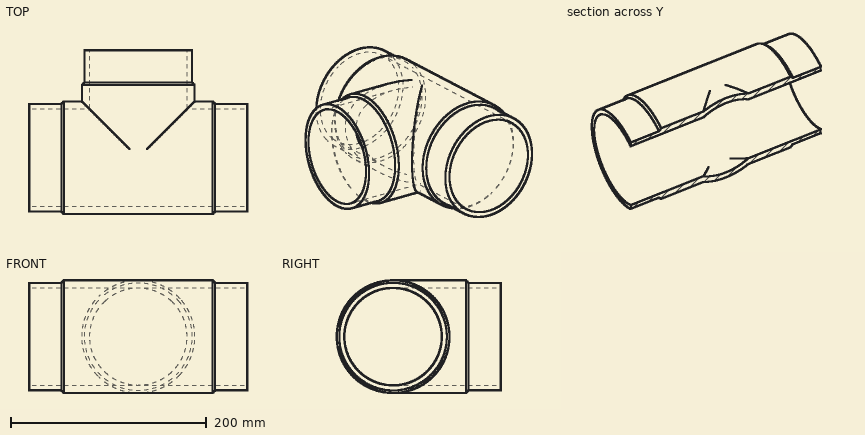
import cadquery as cq

pipe_diameter = 110.0
wall = 5.3
bore_diameter = pipe_diameter - 2 * wall
body_diameter = pipe_diameter + wall
run_length = 223.0
branch_length = 110.0
spigot_length = 33.0
shoulder_chamfer = (body_diameter - pipe_diameter) / 2

run_start = cq.Plane(origin=(-run_length / 2, 0, 0), xDir=(0, 1, 0), normal=(1, 0, 0))
branch_start = cq.Plane(origin=(0, 0, 0), xDir=(1, 0, 0), normal=(0, 1, 0))


def cylinder(plane, start, length, diameter):
    """Cylinder along the plane normal, beginning at the given distance from the plane."""
    return cq.Workplane(plane).workplane(offset=start).circle(diameter / 2).extrude(length)


def make_run():
    """Straight pipe with a thickened middle, chamfered at both shoulders."""
    pipe = cylinder(run_start, 0, run_length, pipe_diameter)
    body = cylinder(run_start, spigot_length, run_length - 2 * spigot_length, body_diameter)
    body = body.faces("<X or >X").chamfer(shoulder_chamfer)
    return pipe.union(body)


def make_branch():
    """Side pipe from the run axis, thickened up to a chamfered shoulder."""
    pipe = cylinder(branch_start, 0, branch_length, pipe_diameter)
    body = cylinder(branch_start, 0, branch_length - spigot_length, body_diameter)
    body = body.faces(">Y").chamfer(shoulder_chamfer)
    return pipe.union(body)


def make_bores():
    """Through bore of the run joined by the branch bore."""
    run_bore = cylinder(run_start, 0, run_length, bore_diameter)
    branch_bore = cylinder(branch_start, 0, branch_length, bore_diameter)
    return run_bore.union(branch_bore)


result = make_run().union(make_branch()).cut(make_bores())